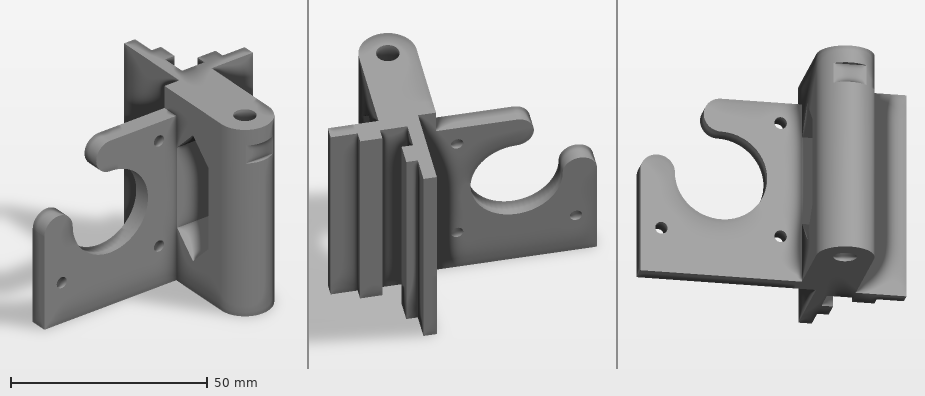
import cadquery as cq
import math

HEIGHT = 55.0

WING_REACH = 23.5
WING_THICKNESS = 3.5
RIB_WIDTH = 5.8
RIB_RISE = 3.0
RIB_CENTER = 13.55

ARM_WIDTH = 15.0
ARM_RADIUS = ARM_WIDTH / 2
ARM_LENGTH = 31.7
ARM_FRONT_Y = -4.7
ARM_CENTER_Y = ARM_FRONT_Y + ARM_RADIUS
PIVOT_X = ARM_LENGTH - ARM_RADIUS
PIVOT_DIAMETER = 6.0

WINDOW_WIDTH = 13.4
WINDOW_CENTER_X = PIVOT_X / 2
WINDOW_SIDE_HEIGHT = 23.7

NOTCH_DEPTH = 1.35
NOTCH_BOTTOM_Z = 45.1
NOTCH_HEIGHT = 5.3

PLATE_THICKNESS = 5.0
MOTOR_SIZE = 42.0
MOTOR_CENTER_Y = ARM_FRONT_Y - MOTOR_SIZE / 2
MOTOR_CENTER_Z = HEIGHT / 2
BORE_RADIUS = 12.0
SCREW_PITCH = 31.0
SCREW_DIAMETER = 3.2


def box(x_min, x_max, y_min, y_max, z_min=0.0, z_max=HEIGHT):
    """Axis-aligned box given by its limits."""
    return cq.Workplane("XY").box(
        x_max - x_min, y_max - y_min, z_max - z_min, centered=False
    ).translate((x_min, y_min, z_min))


def make_bracket():
    """Two wings in an L, each with a rib on its inner face."""
    rib_start = RIB_CENTER - RIB_WIDTH / 2
    rib_end = RIB_CENTER + RIB_WIDTH / 2
    rib_top = WING_THICKNESS + RIB_RISE
    wing_along_x = box(-WING_REACH, 0, 0, WING_THICKNESS)
    wing_along_y = box(-WING_THICKNESS, 0, 0, WING_REACH)
    rib_on_x = box(-rib_end, -rib_start, 0, rib_top)
    rib_on_y = box(-rib_top, 0, rib_start, rib_end)
    return wing_along_x.union(wing_along_y).union(rib_on_x).union(rib_on_y)


def make_arm():
    """Hinge arm with a round end."""
    arm_back_y = ARM_FRONT_Y + ARM_WIDTH
    return (
        cq.Workplane("XY")
        .moveTo(0, ARM_FRONT_Y)
        .lineTo(PIVOT_X, ARM_FRONT_Y)
        .threePointArc((ARM_LENGTH, ARM_CENTER_Y), (PIVOT_X, arm_back_y))
        .lineTo(0, arm_back_y)
        .close()
        .extrude(HEIGHT)
    )


def make_pivot_hole():
    """Vertical hinge hole through the full height."""
    return (
        cq.Workplane("XY")
        .center(PIVOT_X, ARM_CENTER_Y)
        .circle(PIVOT_DIAMETER / 2)
        .extrude(HEIGHT)
    )


def make_window():
    """Six-sided opening with 45 degree points at top and bottom."""
    half_width = WINDOW_WIDTH / 2
    half_side = WINDOW_SIDE_HEIGHT / 2
    half_height = half_side + half_width
    outline = [
        (half_width, -half_side),
        (half_width, half_side),
        (0, half_height),
        (-half_width, half_side),
        (-half_width, -half_side),
        (0, -half_height),
    ]
    return (
        cq.Workplane("XZ", origin=(WINDOW_CENTER_X, ARM_CENTER_Y, HEIGHT / 2))
        .polyline(outline)
        .close()
        .extrude(ARM_WIDTH, both=True)
    )


def make_notch():
    """Shallow flat cut across the tip of the arm."""
    return box(
        ARM_LENGTH - NOTCH_DEPTH, ARM_LENGTH,
        ARM_FRONT_Y, ARM_FRONT_Y + ARM_WIDTH,
        NOTCH_BOTTOM_Z, NOTCH_BOTTOM_Z + NOTCH_HEIGHT,
    )


def make_motor_plate():
    """Plate with a three-quarter bore, round-ended tips and three screw holes."""
    half_size = MOTOR_SIZE / 2
    tip_center = (BORE_RADIUS + half_size) / 2
    tip_radius = (half_size - BORE_RADIUS) / 2
    bore_mid = BORE_RADIUS * math.cos(math.radians(45))
    half_pitch = SCREW_PITCH / 2
    motor_plane = cq.Workplane("YZ", origin=(0, MOTOR_CENTER_Y, MOTOR_CENTER_Z))
    plate = (
        motor_plane
        .moveTo(-half_size, -MOTOR_CENTER_Z)
        .lineTo(half_size, -MOTOR_CENTER_Z)
        .lineTo(half_size, half_size)
        .lineTo(0, half_size)
        .threePointArc((-tip_radius, tip_center), (0, BORE_RADIUS))
        .threePointArc((bore_mid, -bore_mid), (-BORE_RADIUS, 0))
        .threePointArc((-tip_center, tip_radius), (-half_size, 0))
        .close()
        .extrude(PLATE_THICKNESS)
    )
    screw_points = [
        (half_pitch, half_pitch),
        (half_pitch, -half_pitch),
        (-half_pitch, -half_pitch),
    ]
    screw_holes = (
        motor_plane
        .pushPoints(screw_points)
        .circle(SCREW_DIAMETER / 2)
        .extrude(PLATE_THICKNESS)
    )
    return plate.cut(screw_holes)


body = make_bracket().union(make_arm()).union(make_motor_plate())
result = body.cut(make_pivot_hole()).cut(make_window()).cut(make_notch())